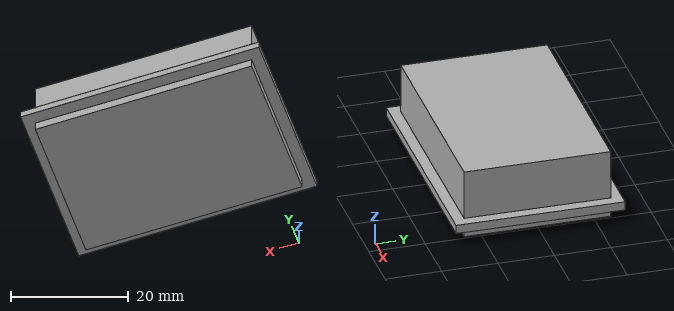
import cadquery as cq

board_length = 43.0
board_width = 30.0
board_thickness = 1.6

edge_margin = 2.0
block_length = board_length - 2 * edge_margin
block_width = board_width - 2 * edge_margin

upper_block_height = 9.0
lower_block_height = 2.0


def make_slab(length, width, height, bottom):
    """Rectangular slab centred on the Z axis, rising from the given level."""
    return (
        cq.Workplane("XY")
        .workplane(offset=bottom)
        .rect(length, width)
        .extrude(height)
    )


board = make_slab(board_length, board_width, board_thickness, 0)

upper_block = make_slab(block_length, block_width, upper_block_height, board_thickness)

lower_block = make_slab(block_length, block_width, lower_block_height, -lower_block_height)

result = cq.Compound.makeCompound([board.val(), upper_block.val(), lower_block.val()])